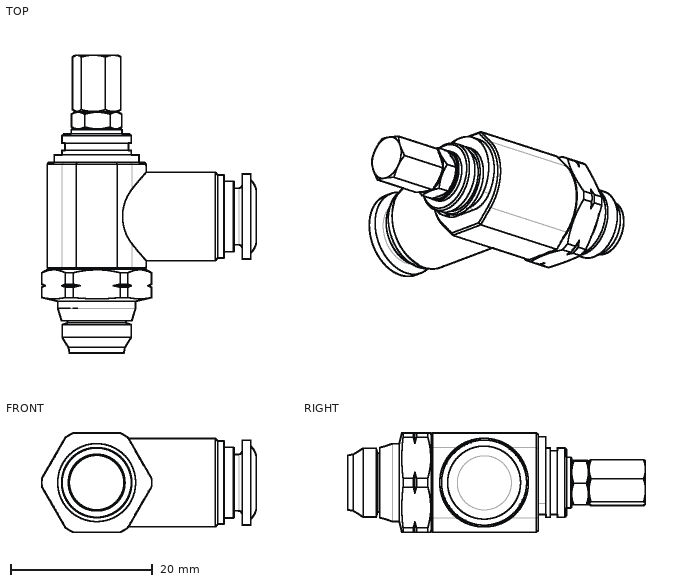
import cadquery as cq
import math

CAP_END_Y = 22.75
OVERALL_DEPTH = 42.0

CAP_DEPTH = 7.95
CAP_FLATS = 6.0
CAP_TURN = 9.0
LOCK_NUT_START = 8.05
LOCK_NUT_END = 10.4
LOCK_NUT_FLATS = 6.15
LOCK_NUT_TURN = -2.0
STEM_RADIUS = 2.9
HEX_BEVEL_ANGLE = 30.0

NECK_RADIUS = 3.6
NECK_BEVEL = 0.15
COLLAR_START = 11.1
COLLAR_RADIUS = 4.9
COLLAR_BEVEL = 0.28
COLLAR_GROOVE_START = 12.42
COLLAR_GROOVE_END = 13.42
COLLAR_GROOVE_RADIUS = 4.5

PLATE_START = 14.05
PLATE_RADIUS = 6.0
PLATE_CENTER_Z = 0.5
PLATE_BOTTOM_Z = -4.5
PLATE_CORNER_RADIUS = 3.7

BODY_START = 15.1
BODY_END = 30.0
BODY_RADIUS = 7.0
OCTAGON_STEP = math.radians(45)
BODY_BEVEL_WIDTH = 0.25
BODY_BEVEL_LENGTH = 0.3
SEAT_RADIUS = 6.75

WRENCH_START = 30.2
WRENCH_END = 34.72
WRENCH_FLATS = 14.0
WRENCH_CORNER_RADIUS = 7.75
WRENCH_BACK_RADIUS = 6.9
WRENCH_BACK_BEVEL = 0.48
WRENCH_FRONT_BEVEL = 0.55
WRENCH_GROOVE_DEPTH = 0.37
WRENCH_GROOVE_WIDTH = 0.45
WRENCH_GROOVE_CENTER = 32.5

SHOULDER_RADIUS = 5.5
SHOULDER_END = 35.7
SEAL_END = 37.47
SEAL_END_RADIUS = 4.95
RELIEF_RADIUS = 4.15
RELIEF_END = 37.75
THREAD_START = 37.98
THREAD_RADIUS = 4.88
THREAD_END = 39.8
TIP_START = 41.2
TIP_START_RADIUS = 4.0
TIP_RADIUS = 3.85

BRANCH_RADIUS = 6.25
BRANCH_BEVEL_START = 16.72
RING_START = 17.08
RING_RADIUS = 5.87
RING_END = 18.0
SLEEVE_RADIUS = 5.0
SLEEVE_END = 19.38
EDGE_BREAK = 0.1
RELEASE_NECK_RADIUS = 4.0
RELEASE_FILLET = 0.5
RELEASE_START = 20.5
RELEASE_RADIUS = 6.0
RELEASE_FACE = 21.72
DOME_BASE_RADIUS = 5.15
DOME_MIDDLE = (22.2, 4.55)
BRANCH_END = 22.5
DOME_END_RADIUS = 3.82


def cross_section(depth):
    """Workplane across the main axis; extrusions from it run toward greater depth."""
    return cq.Workplane("XZ", origin=(0, CAP_END_Y - depth, 0))


def turned(outline):
    """Solid of revolution about the main axis from (radius, depth) points."""
    points = [(0, outline[0][1])] + outline + [(0, outline[-1][1])]
    placed = [(radius, CAP_END_Y - depth) for radius, depth in points]
    return cq.Workplane("XY").polyline(placed).close().revolve(360, (0, 0), (0, 1))


def hexagon(start, end, across_flats, turn):
    """Hexagonal bar whose first corner is turned from +X toward +Z, in degrees."""
    corner_radius = across_flats / math.sqrt(3)
    angles = [math.radians(turn + 60 * i) for i in range(6)]
    corners = [(corner_radius * math.cos(a), corner_radius * math.sin(a)) for a in angles]
    return cross_section(start).polyline(corners).close().extrude(end - start)


def beveled_hexagon(start, end, across_flats, turn):
    """Small hexagon with its corners turned off conically at both ends."""
    face_radius = across_flats / 2
    corner_radius = across_flats / math.sqrt(3)
    bevel = (corner_radius - face_radius) * math.tan(math.radians(HEX_BEVEL_ANGLE))
    envelope = turned([
        (face_radius, start),
        (corner_radius, start + bevel),
        (corner_radius, end - bevel),
        (face_radius, end),
    ])
    return hexagon(start, end, across_flats, turn).intersect(envelope)


def make_adjuster():
    cap = beveled_hexagon(0, CAP_DEPTH, CAP_FLATS, CAP_TURN)
    lock_nut = beveled_hexagon(LOCK_NUT_START, LOCK_NUT_END, LOCK_NUT_FLATS, LOCK_NUT_TURN)
    stem = turned([(STEM_RADIUS, CAP_DEPTH / 2), (STEM_RADIUS, LOCK_NUT_END)])
    return cap.union(stem).union(lock_nut)


def make_collar():
    return turned([
        (NECK_RADIUS - NECK_BEVEL, LOCK_NUT_END),
        (NECK_RADIUS, LOCK_NUT_END + NECK_BEVEL),
        (NECK_RADIUS, COLLAR_START),
        (COLLAR_RADIUS - COLLAR_BEVEL, COLLAR_START),
        (COLLAR_RADIUS, COLLAR_START + COLLAR_BEVEL),
        (COLLAR_RADIUS, COLLAR_GROOVE_START),
        (COLLAR_GROOVE_RADIUS, COLLAR_GROOVE_START),
        (COLLAR_GROOVE_RADIUS, COLLAR_GROOVE_END),
        (COLLAR_RADIUS, COLLAR_GROOVE_END),
        (COLLAR_RADIUS, PLATE_START),
    ])


def make_plate():
    disc = (
        cross_section(PLATE_START)
        .center(0, PLATE_CENTER_Z)
        .circle(PLATE_RADIUS)
        .extrude(BODY_START - PLATE_START)
    )
    trim_height = 2 * PLATE_RADIUS
    trim = (
        cross_section(PLATE_START)
        .center(0, PLATE_BOTTOM_Z - trim_height / 2)
        .rect(2 * PLATE_RADIUS, trim_height)
        .extrude(BODY_START - PLATE_START)
    )
    flatted = disc.cut(trim)
    flat_corners = flatted.faces("<Z").edges("|Y")
    return flat_corners.fillet(PLATE_CORNER_RADIUS)


def make_body():
    half_flat = BODY_RADIUS * math.tan(OCTAGON_STEP / 2)
    tangent = BODY_RADIUS * math.cos(OCTAGON_STEP)
    body = (
        cross_section(BODY_START)
        .moveTo(tangent, tangent)
        .lineTo(half_flat, BODY_RADIUS)
        .lineTo(-half_flat, BODY_RADIUS)
        .lineTo(-tangent, tangent)
        .threePointArc((-BODY_RADIUS, 0), (-tangent, -tangent))
        .lineTo(-half_flat, -BODY_RADIUS)
        .lineTo(half_flat, -BODY_RADIUS)
        .lineTo(tangent, -tangent)
        .threePointArc((BODY_RADIUS, 0), (tangent, tangent))
        .close()
        .extrude(BODY_END - BODY_START)
    )
    body = body.faces(">Y").chamfer(BODY_BEVEL_LENGTH, BODY_BEVEL_WIDTH)
    seat = turned([(SEAT_RADIUS, BODY_END), (SEAT_RADIUS, WRENCH_START)])
    return body.union(seat)


def make_wrench_hexagon():
    groove_half = WRENCH_GROOVE_WIDTH / 2
    envelope = turned([
        (WRENCH_BACK_RADIUS, WRENCH_START),
        (WRENCH_CORNER_RADIUS, WRENCH_START + WRENCH_BACK_BEVEL),
        (WRENCH_CORNER_RADIUS, WRENCH_GROOVE_CENTER - groove_half),
        (WRENCH_CORNER_RADIUS - WRENCH_GROOVE_DEPTH, WRENCH_GROOVE_CENTER),
        (WRENCH_CORNER_RADIUS, WRENCH_GROOVE_CENTER + groove_half),
        (WRENCH_CORNER_RADIUS, WRENCH_END - WRENCH_FRONT_BEVEL),
        (SHOULDER_RADIUS, WRENCH_END),
    ])
    return hexagon(WRENCH_START, WRENCH_END, WRENCH_FLATS, 0).intersect(envelope)


def make_screw_end():
    return turned([
        (SHOULDER_RADIUS, WRENCH_END),
        (SHOULDER_RADIUS, SHOULDER_END),
        (SEAL_END_RADIUS, SEAL_END),
        (RELIEF_RADIUS, SEAL_END),
        (RELIEF_RADIUS, RELIEF_END),
        (THREAD_RADIUS, THREAD_START),
        (THREAD_RADIUS, THREAD_END),
        (TIP_START_RADIUS, TIP_START),
        (TIP_RADIUS, OVERALL_DEPTH),
    ])


def make_branch():
    fillet_start = RELEASE_START - RELEASE_FILLET
    fillet_top = RELEASE_NECK_RADIUS + RELEASE_FILLET
    fillet_reach = RELEASE_FILLET * math.cos(math.radians(45))
    fillet_middle = (fillet_start + fillet_reach, fillet_top - fillet_reach)
    return (
        cq.Workplane("XY")
        .moveTo(0, 0)
        .lineTo(0, BRANCH_RADIUS)
        .lineTo(BRANCH_BEVEL_START, BRANCH_RADIUS)
        .lineTo(RING_START, RING_RADIUS)
        .lineTo(RING_END - EDGE_BREAK, RING_RADIUS)
        .lineTo(RING_END, RING_RADIUS - EDGE_BREAK)
        .lineTo(RING_END, SLEEVE_RADIUS)
        .lineTo(SLEEVE_END - EDGE_BREAK, SLEEVE_RADIUS)
        .lineTo(SLEEVE_END, SLEEVE_RADIUS - EDGE_BREAK)
        .lineTo(SLEEVE_END, RELEASE_NECK_RADIUS)
        .lineTo(fillet_start, RELEASE_NECK_RADIUS)
        .threePointArc(fillet_middle, (RELEASE_START, fillet_top))
        .lineTo(RELEASE_START, RELEASE_RADIUS)
        .lineTo(RELEASE_FACE, RELEASE_RADIUS)
        .lineTo(RELEASE_FACE, DOME_BASE_RADIUS)
        .threePointArc(DOME_MIDDLE, (BRANCH_END, DOME_END_RADIUS))
        .lineTo(BRANCH_END, 0)
        .close()
        .revolve(360, (0, 0), (1, 0))
    )


result = (
    make_adjuster()
    .union(make_collar())
    .union(make_plate())
    .union(make_body())
    .union(make_wrench_hexagon())
    .union(make_screw_end())
    .union(make_branch())
)